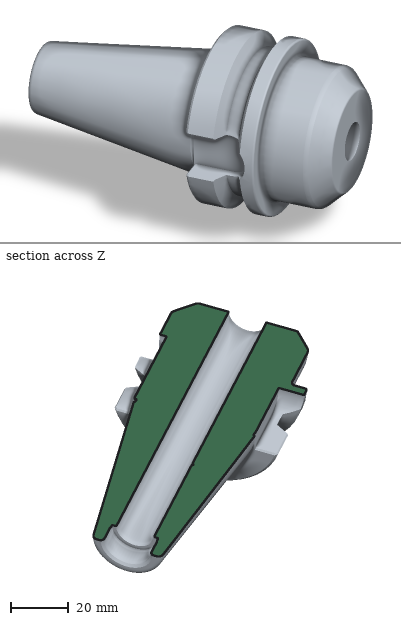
import cadquery as cq
import math

length = 116.2

taper_end_dia = 44.9
neck_dia = 43.9
taper_end_x = 65.0
small_dia = 25.5
neck_step_length = 0.3
small_end_fillet = 1.9

flange_dia = 62.9
flange_start_x = 66.2
flange_end_x = 92.1
flange_chamfer = 0.9
flange_back_fillet = 0.7
groove_dia = 52.8
groove_wall_start_x = 76.7
groove_floor_start_x = 79.5
groove_floor_end_x = 84.1
groove_wall_end_x = 86.9

nose_dia = 50.8
nose_cone_start_x = 109.1
nose_tip_dia = 37.0
nose_corner_fillet = 2.3
nose_tip_fillet = 0.9
root_fillet = 1.2

slot_width = 16.0
slot_edge_chamfer = 0.6
front_slot_floor = 22.1
front_slot_tip_x = 88.9
back_slot_floor = 22.9
back_slot_tip_x = 97.5

mouth_dia = 19.0
counterbore_dia = 17.3
counterbore_depth = 6.6
shoulder_length = 0.6
pilot_dia = 17.0
pilot_depth = 8.1
through_dia = 13.8


class RingSelector(cq.Selector):
    """Picks the circle about the X axis that lies at x and has the given radius."""

    def __init__(self, x, radius, reach=0.01):
        self.x = x
        self.radius = radius
        self.reach = reach

    def filter(self, edges):
        return [
            edge
            for edge in edges
            if edge.geomType() == "CIRCLE"
            and abs(edge.startPoint().x - self.x) < self.reach
            and abs(edge.radius() - self.radius) < self.reach
        ]


def turned_body():
    """Outer form, turned about X, with its rounded corners."""
    flange_r = flange_dia / 2
    neck_r = neck_dia / 2
    nose_r = nose_dia / 2
    profile = (
        cq.Workplane("XY")
        .moveTo(0, 0)
        .lineTo(0, small_dia / 2)
        .lineTo(taper_end_x, taper_end_dia / 2)
        .lineTo(taper_end_x + neck_step_length, neck_r)
        .lineTo(flange_start_x, neck_r)
        .lineTo(flange_start_x, flange_r - flange_chamfer)
        .lineTo(flange_start_x + flange_chamfer, flange_r)
        .lineTo(groove_wall_start_x, flange_r)
        .lineTo(groove_floor_start_x, groove_dia / 2)
        .lineTo(groove_floor_end_x, groove_dia / 2)
        .lineTo(groove_wall_end_x, flange_r)
        .lineTo(flange_end_x, flange_r)
        .lineTo(flange_end_x, nose_r)
        .lineTo(nose_cone_start_x, nose_r)
        .lineTo(length, nose_tip_dia / 2)
        .lineTo(length, 0)
        .close()
    )
    body = profile.revolve(360, (0, 0, 0), (1, 0, 0))
    for x, radius, fillet in (
        (0, small_dia / 2, small_end_fillet),
        (flange_end_x, flange_r, flange_back_fillet),
        (flange_end_x, nose_r, root_fillet),
        (nose_cone_start_x, nose_r, nose_corner_fillet),
        (length, nose_tip_dia / 2, nose_tip_fillet),
    ):
        body = body.edges(RingSelector(x, radius)).fillet(fillet)
    return body


def drive_slot(side, floor, tip_x):
    """Round-ended slot cutter on the +Y (side = 1) or -Y (side = -1) flank."""
    half = slot_width / 2
    arc_x = tip_x - half
    return (
        cq.Workplane("XZ", origin=(0, side * floor, 0))
        .moveTo(flange_start_x, -half)
        .lineTo(arc_x, -half)
        .threePointArc((tip_x, 0), (arc_x, half))
        .lineTo(flange_start_x, half)
        .close()
        .extrude(-side * flange_dia)
    )


def bore():
    """Stepped bore, open at both ends."""
    mouth_chamfer = (mouth_dia - counterbore_dia) / 2
    return (
        cq.Workplane("XY")
        .moveTo(0, 0)
        .lineTo(0, mouth_dia / 2)
        .lineTo(mouth_chamfer, counterbore_dia / 2)
        .lineTo(counterbore_depth, counterbore_dia / 2)
        .lineTo(counterbore_depth + shoulder_length, pilot_dia / 2)
        .lineTo(pilot_depth, pilot_dia / 2)
        .lineTo(pilot_depth, through_dia / 2)
        .lineTo(length, through_dia / 2)
        .lineTo(length, 0)
        .close()
        .revolve(360, (0, 0, 0), (1, 0, 0))
    )


class SlotRimSelector(cq.Selector):
    """Picks the slot wall edges along the flange front face, its chamfer and its rim."""

    def filter(self, edges):
        reach = 0.01
        chamfer_radius = flange_dia / 2 - flange_chamfer
        picked = []
        for edge in edges:
            middle = edge.Center()
            points = (edge.startPoint(), middle, edge.endPoint())
            on_wall = all(abs(abs(point.z) - slot_width / 2) < reach for point in points)
            on_face = abs(middle.x - flange_start_x) < reach
            on_rim = math.hypot(middle.y, middle.z) > chamfer_radius and middle.x < groove_wall_start_x
            if on_wall and (on_face or on_rim):
                picked.append(edge)
        return picked


result = (
    turned_body()
    .cut(drive_slot(-1, front_slot_floor, front_slot_tip_x))
    .cut(drive_slot(1, back_slot_floor, back_slot_tip_x))
    .edges(SlotRimSelector())
    .chamfer(slot_edge_chamfer)
    .cut(bore())
)